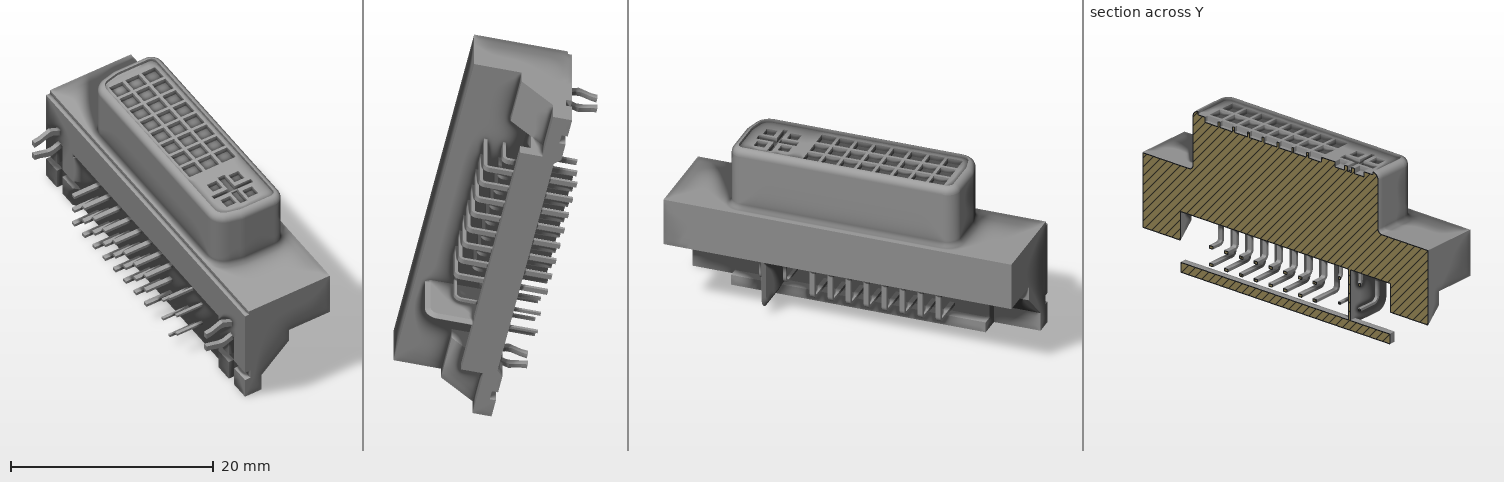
import cadquery as cq
import math


length = 36.83
body_depth = 9.9
body_bottom = 6.55
body_top = 11.55
body_step = 0.45
recess_depth = 0.63
recess_half_width = 13.48
recess_top = 7.1
bracket_width = length / 2 - recess_half_width
bracket_depth = 5.12
bracket_foot = 1.9
bracket_foot_height = 2.0
bracket_slope_top = 5.1
wall_back = 3.1
floor_back = 4.15
floor_height = 1.1

groove_width = 1.0
groove_x = 15.9
groove_z = 2.8

shell_top = 18.05
shell_half_width = 12.05
shell_front = 1.03
shell_back = 8.75
shell_bend_y = 3.8
shell_slope = math.radians(14)
back_corner_radius = 1.33
front_corner_radius = 1.8
shell_edge_radius = 0.75
shell_root_radius = 0.45
shell_wall = 0.7
face_recess = 0.33

columns = 8
rows = 3
columns_span = 13.35
pitch = columns_span / (columns - 1)
first_column_x = -9.55
middle_row_y = 4.95
middle_row_z = 3.83
blade_x = 8.25
group_offset = pitch * 2 / 3
socket_size = 1.6
group_socket_size = 1.15
socket_depth = 0.55
cross_arm_length = 4.25
cross_arm_width = 0.8
blade_slot_length = 4.55
blade_slot_width = 0.48
blade_tip_width = 0.2
blade_tip_drop = 0.33

pin_tip = -2.43
pin_width = 0.5
pin_thickness = 0.33
pin_bend = 0.25
group_pin_width = 0.33
group_pin_thickness = 0.25
group_pin_bend = 0.55
ground_pin_width = 0.22
ground_pin_thickness = 0.33

blade_thickness = 0.3
blade_back = 8.95
blade_bottom = 0.6
blade_corner_radius = 1.25
blade_bevel = 0.5
blade_bevel_x = 0.25

clip_mid_z = 7.25
clip_width = 0.48
clip_tip = -3.05
clip_thickness = 0.65
clip_hollow_width = 0.55
clip_hollow_z = 1.0
clip_root_z = 1.25
clip_peak_y = -1.18
clip_peak_z = 1.73
clip_bend_y = -2.43
clip_bend_z = 1.18
clip_tip_z = 1.1
clip_bend_thickness = 0.6
lower_clip_spread = 0.15

overlap = 0.35


def block(x0, x1, y0, y1, z0, z1):
    return cq.Workplane("XY").box(x1 - x0, y1 - y0, z1 - z0, centered=False).translate((x0, y0, z0))


def side_profile(points, x0, width):
    """Prism along X from an outline of (y, z) points."""
    return cq.Workplane("YZ", origin=(x0, 0, 0)).polyline(points).close().extrude(width)


def make_body():
    body = block(-length / 2, length / 2, 0, body_depth, body_bottom, body_top)
    step = block(-length / 2, length / 2, 0, body_step, body_top - body_step, body_top)
    recess = block(-recess_half_width, recess_half_width, 0, recess_depth, body_bottom, recess_top)
    return body.cut(step).cut(recess)


def make_shell():
    corner_x = shell_half_width - (shell_bend_y - shell_front) * math.tan(shell_slope)
    outline = [
        (-shell_half_width, shell_back),
        (shell_half_width, shell_back),
        (shell_half_width, shell_bend_y),
        (corner_x, shell_front),
        (-corner_x, shell_front),
        (-shell_half_width, shell_bend_y),
    ]
    height = shell_top - body_top
    shell = cq.Workplane("XY", origin=(0, 0, body_top)).polyline(outline).close().extrude(height)
    shell = shell.edges("|Z and >Y").fillet(back_corner_radius)
    return shell.edges("|Z").edges("<X or >X or <Y").fillet(front_corner_radius)


def make_face_recess(shell):
    rim = shell.faces(">Z").wires().toPending().offset2D(-shell_wall)
    return rim.extrude(-face_recess, combine=False)


def make_sockets():
    """Blind square sockets and the cross-shaped ground slot below the recessed mating face."""
    top = shell_top - face_recess
    face = cq.Workplane("XY", origin=(0, middle_row_y, top))
    signal_x = first_column_x + columns_span / 2
    signal = face.center(signal_x, 0).rarray(pitch, pitch, columns, rows).rect(socket_size, socket_size)
    sockets = signal.extrude(-socket_depth)
    group = face.center(blade_x, 0)
    spacing = 2 * group_offset
    corners = group.rarray(spacing, spacing, 2, 2).rect(group_socket_size, group_socket_size)
    sockets = sockets.union(corners.extrude(-socket_depth))
    cross_arm = group.rect(cross_arm_length, cross_arm_width)
    sockets = sockets.union(cross_arm.extrude(-socket_depth))
    slot = group.rect(blade_slot_width, blade_slot_length).extrude(-socket_depth)
    tip_height = socket_depth - blade_tip_drop
    tip = face.workplane(offset=-socket_depth).center(blade_x, 0)
    tip = tip.rect(blade_tip_width, blade_slot_length).extrude(tip_height)
    return sockets.union(slot).cut(tip)


def make_housing():
    half = recess_half_width
    wall = block(-half, half, recess_depth, wall_back, 0, body_bottom)
    floor = block(-half, half, recess_depth, floor_back, 0, floor_height)
    housing = wall.union(floor)
    bracket = [
        (0, 0),
        (bracket_foot, 0),
        (bracket_foot, bracket_foot_height),
        (bracket_depth, bracket_slope_top),
        (bracket_depth, body_bottom),
        (0, body_bottom),
    ]
    pad_bevel = [(half, 0), (half, recess_depth), (half - recess_depth, recess_depth)]
    bevel = cq.Workplane("XY").polyline(pad_bevel).close().extrude(body_bottom)
    end = side_profile(bracket, half, bracket_width).union(bevel)
    half_groove = groove_width / 2
    upright = block(groove_x - half_groove, groove_x + half_groove, 0, recess_depth, 0, body_bottom)
    level = block(0, length / 2, 0, recess_depth, groove_z - half_groove, groove_z + half_groove)
    end = end.cut(upright).cut(level)
    return housing.union(end).union(end.mirror("YZ"))


def bent_pin(x, z, width, thickness, bend):
    """Pin that comes down from the body and turns toward the board at height z."""
    y = middle_row_y + middle_row_z - z
    half = thickness / 2
    top = body_bottom + overlap
    profile = (
        cq.Workplane("YZ", origin=(x - width / 2, 0, 0))
        .moveTo(pin_tip, z - half)
        .lineTo(y - half - bend, z - half)
        .radiusArc((y + half, z + half + bend), -(bend + thickness))
        .lineTo(y + half, top)
        .lineTo(y - half, top)
        .lineTo(y - half, z + half + bend)
        .radiusArc((y - half - bend, z + half), bend)
        .lineTo(pin_tip, z + half)
        .close()
    )
    return profile.extrude(width)


def make_pins():
    pins = cq.Workplane("XY")
    for column in range(columns):
        for row in range(-1, rows - 1):
            x = first_column_x + column * pitch
            z = middle_row_z + row * pitch
            pins = pins.add(bent_pin(x, z, pin_width, pin_thickness, pin_bend))
    for side in (-1, 1):
        for row in (-1, 1):
            x = blade_x + side * group_offset
            z = middle_row_z + row * group_offset
            pins = pins.add(bent_pin(x, z, group_pin_width, group_pin_thickness, group_pin_bend))
    for row in (-2, 2):
        z = middle_row_z + row * group_offset
        half_x = ground_pin_width / 2
        half_z = ground_pin_thickness / 2
        pin = block(blade_x - half_x, blade_x + half_x, pin_tip, wall_back, z - half_z, z + half_z)
        pins = pins.add(pin)
    return pins


def make_blade():
    """Plate in the YZ plane whose rounded outer edge is bevelled on the -X face."""
    x0 = blade_x - blade_thickness / 2
    top = body_bottom + overlap
    blade = block(x0, x0 + blade_thickness, recess_depth, blade_back, blade_bottom, top)
    blade = blade.edges("|X and >Y and <Z").fillet(blade_corner_radius)
    return blade.faces("<X").edges(">Y").chamfer(blade_bevel, blade_bevel_x)


def make_clip(x, side):
    """Bent board clip, bowed away from its twin; side is 1 for the upper one, -1 for the lower."""
    root_y = recess_depth + overlap
    spread = lower_clip_spread if side < 0 else 0
    bend_z = clip_bend_z + spread
    tip_z = clip_tip_z + spread
    half_hollow = clip_hollow_width / 2
    outer = [
        (root_y, clip_root_z),
        (0, clip_root_z),
        (clip_peak_y, clip_peak_z),
        (clip_bend_y, bend_z),
        (clip_tip, tip_z),
    ]
    inner = [
        (clip_tip, tip_z - clip_thickness),
        (clip_bend_y, bend_z - clip_bend_thickness),
        (clip_peak_y - half_hollow, clip_hollow_z),
        (clip_peak_y + half_hollow, clip_hollow_z),
        (0, clip_root_z - clip_thickness),
        (root_y, clip_root_z - clip_thickness),
    ]
    points = [(y, clip_mid_z + side * z) for y, z in outer + inner]
    return side_profile(points, x - clip_width / 2, clip_width)


def make_molding():
    """Body and shell with their rounds, the recessed mating face and its sockets."""
    shell = make_shell()
    margin = shell_root_radius / 2
    shell_root = cq.selectors.BoxSelector(
        (-shell_half_width - margin, shell_front - margin, body_top - margin),
        (shell_half_width + margin, shell_back + margin, body_top + margin),
    )
    molding = make_body().union(shell)
    molding = molding.edges(shell_root).fillet(shell_root_radius)
    molding = molding.faces(">Z").edges().fillet(shell_edge_radius)
    return molding.cut(make_face_recess(shell)).cut(make_sockets())


result = make_molding().union(make_housing()).union(make_blade())
result = result.union(make_pins().combine())
for clip_x in (-groove_x, groove_x):
    for clip_side in (-1, 1):
        result = result.union(make_clip(clip_x, clip_side))